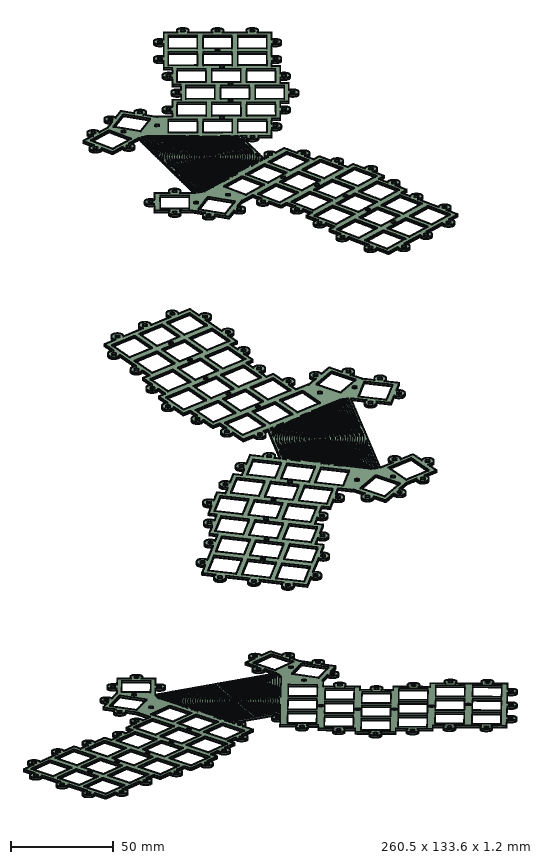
import cadquery as cq
import math

overall_width = 260.5
overall_depth = 133.5
thickness = 1.2

tilt = 25.0
column_pitch = 18.0
row_pitch = 17.0
rows = 3
column_steps = [0, 0, 1, 2, 1, 0]
stagger = row_pitch / 4
opening = 14.0
rim = 0.9
half_u = column_pitch / 2 + rim
half_v = row_pitch / 2 + rim

tab_radius = 3.0
tab_reach = 1.8
tab_u = half_u + tab_reach
tab_v = half_v + tab_reach
screw_hole_radius = 1.1

upper_thumb = (-48.7, -36.2)
upper_thumb_angle = 45.0
lower_thumb = (-36.7, -53.2)
lower_thumb_angle = tilt
thumb_holes = [(-41.0, -26.3), (-42.0, -44.0)]

web_drop = 17.0
web_notch_y = -38.0
web_overhang = 4.0

bridge_top = 5.7
bridge_bottom = -39.9
bridge_edge_u = 10.7
border = 1.2
groove_width = 1.2
groove_pitch = 2 * groove_width
groove_depth = thickness / 2
hub_radius = 1.1
ring_count = 11
corner_radius = 26.5
corner_groove_count = 4
spine_width = 1.6
ring_centre = (0, (bridge_top + bridge_bottom) / 2)


def shifted(point, angle, u, v):
    """Move a point by u and v along axes turned by the angle."""
    c = math.cos(math.radians(angle))
    s = math.sin(math.radians(angle))
    return (point[0] + u * c - v * s, point[1] + u * s + v * c)


def midpoint(a, b):
    return ((a[0] + b[0]) / 2, (a[1] + b[1]) / 2)


def block(point, angle, width, height):
    """Plate-thick rectangle centred on a point and turned by the angle."""
    turned = cq.Workplane("XY").transformed(offset=(*point, 0), rotate=(0, 0, angle))
    return turned.rect(width, height).extrude(thickness)


def disc(point, radius):
    return cq.Workplane("XY").center(*point).circle(radius).extrude(thickness)


def slab(points):
    return cq.Workplane("XY").polyline(points).close().extrude(thickness)


def gathered(workplanes):
    """Hold separate solids together as one compound."""
    solids = [solid for item in workplanes for solid in item.solids().vals()]
    return cq.Workplane("XY").newObject([cq.Compound.makeCompound(solids)])


outer_tab = shifted((0, 0), -tilt, -tab_u, -(rows - 1) * row_pitch)
top_tab = shifted((0, 0), -tilt, 0, tab_v)
first_key = (
    tab_radius - overall_width / 2 - outer_tab[0],
    overall_depth / 2 - tab_radius - top_tab[1],
)
columns = []
for index, steps in enumerate(column_steps):
    u = index * column_pitch
    columns.append(
        [shifted(first_key, -tilt, u, steps * stagger - row * row_pitch) for row in range(rows)]
    )
grid_keys = [key for column in columns for key in column]
inner_top = columns[-1][0]
inner_bottom = columns[-1][-1]

tabs = [shifted(column[0], -tilt, 0, tab_v) for column in columns]
tabs += [shifted(column[-1], -tilt, 0, -tab_v) for column in columns[:-1]]
tabs += [shifted(key, -tilt, -tab_u, 0) for key in columns[0]]
tabs += [
    shifted(inner_top, -tilt, tab_u, 0),
    shifted(upper_thumb, upper_thumb_angle, 0, tab_u),
    shifted(upper_thumb, upper_thumb_angle, -tab_v, 0),
    shifted(lower_thumb, lower_thumb_angle, tab_v, 0),
    shifted(lower_thumb, lower_thumb_angle, -tab_v, 0),
    shifted(lower_thumb, lower_thumb_angle, 0, -tab_u),
]

web_holes = [midpoint(left[1], right[1]) for left, right in zip(columns, columns[1:])]
holes = tabs + web_holes + thumb_holes


def thumb_web():
    """Solid area from the inner key column down to the thumb keys."""
    inner_corner = shifted(inner_bottom, -tilt, bridge_edge_u, -web_drop)
    return slab([
        shifted(inner_top, -tilt, 0, half_v),
        shifted(inner_top, -tilt, bridge_edge_u, half_v),
        inner_corner,
        (inner_corner[0], web_notch_y),
        shifted(lower_thumb, lower_thumb_angle, half_v, half_u),
        shifted(lower_thumb, lower_thumb_angle, -half_v, half_u),
        upper_thumb,
        shifted(upper_thumb, upper_thumb_angle, half_v, half_u),
        shifted(inner_bottom, -tilt, -half_u, -half_v - web_overhang),
        shifted(inner_bottom, -tilt, -half_u, half_v),
    ])


def half_plate():
    """Left half: key pads, thumb web and tabs, with key openings and screw holes."""
    thumbs = [(upper_thumb, upper_thumb_angle), (lower_thumb, lower_thumb_angle)]
    plate = thumb_web()
    for key in grid_keys:
        plate = plate.union(block(key, -tilt, 2 * half_u, 2 * half_v))
    for key, angle in thumbs:
        plate = plate.union(block(key, angle, 2 * half_v, 2 * half_u))
    for tab in tabs:
        plate = plate.union(disc(tab, tab_radius))
    for key in grid_keys:
        plate = plate.cut(block(key, -tilt, opening, opening))
    for key, angle in thumbs:
        plate = plate.cut(block(key, angle, opening, opening))
    for hole in holes:
        plate = plate.cut(disc(hole, screw_hole_radius))
    return plate


def bridge_outline(inset):
    """Bridge trapezoid with all four sides drawn inwards."""
    edge = shifted(inner_bottom, -tilt, bridge_edge_u - border + inset, 0)
    slope = math.tan(math.radians(tilt))
    top = bridge_top - inset
    bottom = bridge_bottom + inset
    top_x = edge[0] + (top - edge[1]) * slope
    bottom_x = edge[0] + (bottom - edge[1]) * slope
    return slab([(bottom_x, bottom), (-bottom_x, bottom), (-top_x, top), (top_x, top)])


def ring(inner_radius):
    return disc(ring_centre, inner_radius + groove_width).cut(disc(ring_centre, inner_radius))


def bridge_grooves():
    """Rings around the hub, outline-following grooves in the corners, parted by a spine."""
    core = disc(ring_centre, corner_radius)
    rings = gathered([ring(hub_radius + i * groove_pitch) for i in range(ring_count)])
    parts = [bridge_outline(border).intersect(rings).intersect(core)]
    for i in range(corner_groove_count):
        inset = border + i * groove_pitch
        frame = bridge_outline(inset).cut(bridge_outline(inset + groove_width))
        parts.append(frame.cut(core))
    spine = block(ring_centre, 0, spine_width, 2 * (bridge_top - bridge_bottom))
    spine = spine.cut(disc(ring_centre, hub_radius + groove_width))
    return gathered(parts).cut(spine).translate((0, 0, thickness - groove_depth))


left_half = half_plate()
bridge = bridge_outline(0).cut(bridge_grooves())
result = left_half.union(bridge).union(left_half.mirror("YZ"))